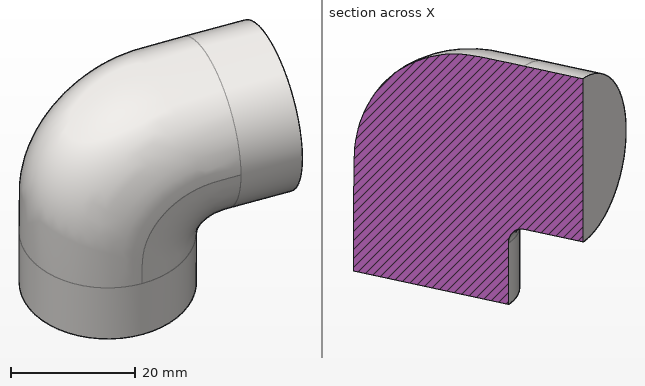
import cadquery as cq
import math

overall_size = 42.3
pipe_diameter = 28.6
end_length = 10.75
outer_bend_radius = 23.35
section_count = 13

pipe_radius = pipe_diameter / 2
inner_bend_radius = overall_size - pipe_diameter - end_length
outer_reach = inner_bend_radius + pipe_diameter
centreline_reach = inner_bend_radius + pipe_radius
outer_straight = outer_reach - outer_bend_radius


def outer_distance(angle):
    """Distance from the bend centre to the outer wall: straight, arc, straight."""
    along_y = math.cos(angle)
    along_z = math.sin(angle)
    if outer_reach * along_z <= outer_straight * along_y:
        return outer_reach / along_y
    if outer_reach * along_y <= outer_straight * along_z:
        return outer_reach / along_z
    projection = outer_straight * (along_y + along_z)
    return projection + math.sqrt(projection**2 - 2 * outer_straight**2 + outer_bend_radius**2)


def bend_section(angle):
    """Elliptical section standing on the ray at this angle, turned from -Y towards +Z."""
    along_y = math.cos(angle)
    along_z = math.sin(angle)
    outer = outer_distance(angle)
    centre = (outer + inner_bend_radius) / 2
    half_depth = (outer - inner_bend_radius) / 2
    return cq.Wire.makeEllipse(
        pipe_radius,
        half_depth,
        cq.Vector(0, -centre * along_y, centre * along_z),
        cq.Vector(0, along_z, along_y),
        cq.Vector(1, 0, 0),
    )


angle_step = math.pi / 2 / (section_count - 1)
sections = [bend_section(i * angle_step) for i in range(section_count)]
bend = cq.Workplane(cq.Solid.makeLoft(sections))

lower_end = cq.Workplane("XY").center(0, -centreline_reach).circle(pipe_radius).extrude(-end_length)
rear_end = cq.Workplane("XZ").center(0, centreline_reach).circle(pipe_radius).extrude(-end_length)

result = bend.union(lower_end).union(rear_end)